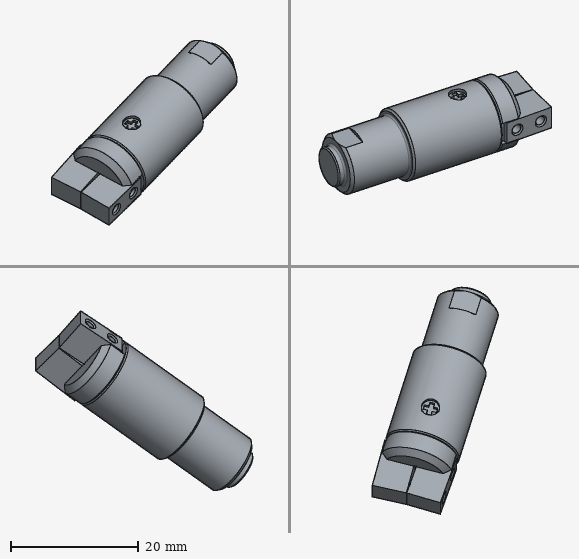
import cadquery as cq
import math

overall_length = 37.1

body_radius = 12.0 / 2
shank_radius = 10.0 / 2
spigot_radius = 3.3
spigot_neck_radius = 3.2
spigot_fillet = 0.35
spigot_chamfer = 0.22

nose_front = 5.05
groove_center = 9.1
shoulder = 25.12
shank_end = 35.75

nose_chamfer = 1.0
groove_half_width = 0.22
groove_depth = 0.2
shoulder_chamfer = 0.35
shank_fillet = 0.3
shank_chamfer = 0.5

flat_height = 4.5
flat_length = 3.55

recess_y = 13.85
recess_diameter = 2.85
recess_floor_height = 5.4
cross_span = 2.15
cross_arm_width = 0.78
cross_depth = 0.52

jaw_thickness = 4.0
slot_floor = 9.05
jaw_tip_half_span = 5.55
jaw_tip_half_gap = 0.05
jaw_angle = 2.0
jaw_length = 8.2
tang_setback = 0.95
jaw_hole_diameter = 1.55
jaw_hole_sink_diameter = 2.05
jaw_hole_positions = [1.95, 6.3]


def make_housing_blank():
    """Revolve the half profile about Y; points are (radius, Y)."""
    unit_fillet_mid = 1 - math.sqrt(0.5)
    fillet_mid = shank_fillet * unit_fillet_mid
    spigot_mid = spigot_fillet * unit_fillet_mid
    profile = (
        cq.Workplane("XY")
        .moveTo(0, nose_front)
        .lineTo(body_radius - nose_chamfer, nose_front)
        .lineTo(body_radius, nose_front + nose_chamfer)
        .lineTo(body_radius, groove_center - groove_half_width)
        .lineTo(body_radius - groove_depth, groove_center)
        .lineTo(body_radius, groove_center + groove_half_width)
        .lineTo(body_radius, shoulder - shoulder_chamfer)
        .lineTo(body_radius - shoulder_chamfer, shoulder)
        .lineTo(shank_radius + shank_fillet, shoulder)
        .threePointArc(
            (shank_radius + fillet_mid, shoulder + fillet_mid),
            (shank_radius, shoulder + shank_fillet),
        )
        .lineTo(shank_radius, shank_end - shank_chamfer)
        .lineTo(shank_radius - shank_chamfer, shank_end)
        .lineTo(spigot_neck_radius + spigot_fillet, shank_end)
        .threePointArc(
            (spigot_neck_radius + spigot_mid, shank_end + spigot_mid),
            (spigot_neck_radius, shank_end + spigot_fillet),
        )
        .lineTo(spigot_radius, overall_length - spigot_chamfer)
        .lineTo(spigot_radius - spigot_chamfer, overall_length)
        .lineTo(0, overall_length)
        .close()
    )
    return profile.revolve(360, (0, 0, 0), (0, 1, 0))


def make_wrench_flat_cut():
    """Block that removes the shank above the wrench flat."""
    return cq.Workplane("XY").box(
        2 * shank_radius, flat_length, shank_radius, centered=(True, False, False)
    ).translate((0, shank_end - flat_length, flat_height))


def make_cross_recess_cut():
    """Round recess with a deeper cross in its floor."""
    floor = cq.Workplane("XY", origin=(0, recess_y, recess_floor_height))
    cut = floor.circle(recess_diameter / 2).extrude(body_radius - recess_floor_height)
    for span_x, span_y in [(cross_span, cross_arm_width), (cross_arm_width, cross_span)]:
        cut = cut.union(floor.rect(span_x, span_y).extrude(-cross_depth))
    return cut


def make_jaw_slot_cut():
    """Slot across the nose, open at the front and at both sides."""
    return cq.Workplane("XY").box(
        2 * body_radius, slot_floor, jaw_thickness, centered=(True, False, True)
    )


def make_housing():
    housing = make_housing_blank()
    housing = housing.cut(make_wrench_flat_cut())
    housing = housing.cut(make_cross_recess_cut())
    return housing.cut(make_jaw_slot_cut()).solids()


def make_jaw(side):
    """One tilted jaw; side is +1 for the +X jaw and -1 for its mirror image."""
    tilt = math.radians(jaw_angle)
    width = (jaw_tip_half_span - jaw_tip_half_gap) / math.cos(tilt)
    outer_x = jaw_tip_half_span
    inner_x = outer_x - width
    tang_x = outer_x - tang_setback

    def tang_end(x):
        return (slot_floor - (outer_x - x) * math.sin(tilt)) / math.cos(tilt)

    jaw = (
        cq.Workplane("XY", origin=(0, 0, -jaw_thickness / 2))
        .polyline([
            (inner_x, 0),
            (outer_x, 0),
            (outer_x, jaw_length),
            (tang_x, jaw_length),
            (tang_x, tang_end(tang_x)),
            (inner_x, tang_end(inner_x)),
        ])
        .close()
        .extrude(jaw_thickness)
    )
    jaw = (
        cq.Workplane("YZ", origin=(outer_x, 0, 0))
        .add(jaw)
        .pushPoints([(y, 0) for y in jaw_hole_positions])
        .cskHole(jaw_hole_diameter, jaw_hole_sink_diameter, 90)
    )
    jaw = jaw.rotate((outer_x, 0, 0), (outer_x, 0, 1), -jaw_angle)
    if side < 0:
        jaw = jaw.mirror("YZ")
    return jaw.solids()


housing = make_housing()
jaws = [make_jaw(side) for side in (-1, 1)]

result = cq.Compound.makeCompound([housing.val(), *[jaw.val() for jaw in jaws]])